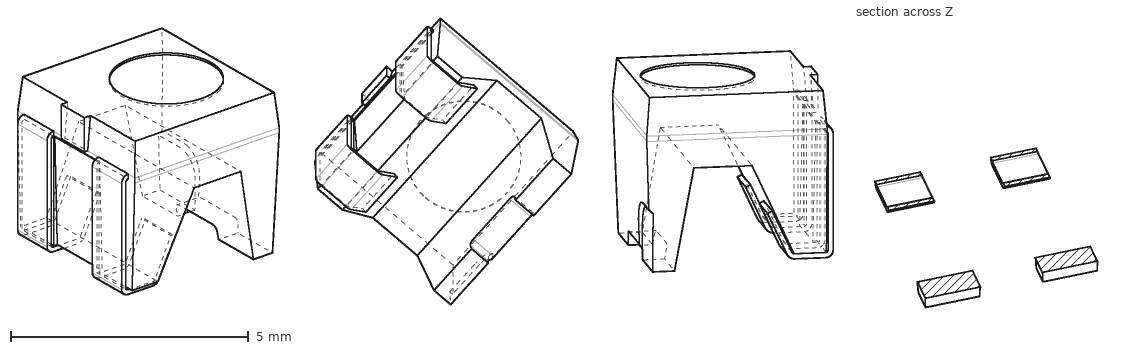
import cadquery as cq
import math

width = 4.0
height = 3.77
back_y = 2.015
front_y = -1.84
band_top = 2.962
band_bottom = 2.845
top_inset_x = 0.08
top_inset_y = 0.073
base_inset = 0.1
front_leg_bottom = 0.275

tunnel_top = 2.225
tunnel_top_y = (-0.238, 1.005)
front_leg_inner_y = -1.15
rear_leg_inner_y = 1.402

arch_half_width = 0.7
arch_top = 0.322
arch_fillet = 0.12

pocket_floor_y = 1.87
pocket_top = 1.265
pocket_fillet = 0.525
pocket_flare = 42.0

window_radius = 1.2
window_y = 0.565
window_depth = 0.05
tab_width = 0.785
tab_front_y = -1.935
panel_half_width = 0.76
panel_depth_top = 0.025
panel_depth_bottom = 0.09

lead_inner_x = 0.775
lead_width = 1.005
lead_thickness = 0.113
lead_front_y = -2.015
lead_bottom = 0.13
lead_arm_length = 1.035
lead_root_y = -1.61
bend_inner_radius = 0.055
bend_outer_radius = bend_inner_radius + lead_thickness

clearance = 0.405


def section(z, inset_x, inset_front, inset_back):
    """Rectangular wire across the body at height z."""
    half_x = width / 2 - inset_x
    y_front = front_y + inset_front
    y_back = back_y - inset_back
    corners = [(-half_x, y_front), (half_x, y_front), (half_x, y_back), (-half_x, y_back)]
    return cq.Workplane("XY").workplane(offset=z).polyline(corners).close().val()


def frustum(*wires):
    return cq.Workplane(obj=cq.Solid.makeLoft(list(wires), True))


def side_prism(points, x_start, length):
    """Extrude a closed (y, z) outline along +X."""
    return cq.Workplane("YZ").workplane(offset=x_start).polyline(points).close().extrude(length)


def make_body():
    base = section(0, base_inset, 0, base_inset)
    low = section(band_bottom, 0, 0, 0)
    high = section(band_top, 0, 0, 0)
    top = section(height, top_inset_x, top_inset_y, top_inset_y)
    return frustum(base, low).union(frustum(low, high)).union(frustum(high, top))


def make_tunnel():
    """Tapered gap between front and rear legs, with the front legs cut shorter."""
    outline = [
        (front_y - clearance, front_leg_bottom),
        (front_leg_inner_y, front_leg_bottom),
        (tunnel_top_y[0], tunnel_top),
        (tunnel_top_y[1], tunnel_top),
        (rear_leg_inner_y, 0),
        (rear_leg_inner_y, -clearance),
        (front_y - clearance, -clearance),
    ]
    return side_prism(outline, -width / 2 - clearance, width + 2 * clearance)


def make_rear_arch():
    arch_length = back_y + clearance
    arch = cq.Workplane("XY").box(
        2 * arch_half_width, arch_length, arch_top + clearance, centered=(True, False, False)
    )
    return arch.translate((0, 0, -clearance)).edges("|Y and >Z").fillet(arch_fillet)


def make_corner_pocket():
    """Flared pocket over the back of the -X rear leg, rounded at its upper inner corner."""
    far_x = -width / 2 - clearance
    profile = (
        cq.Workplane("XZ", origin=(0, pocket_floor_y, 0))
        .moveTo(far_x, -clearance)
        .lineTo(-arch_half_width, -clearance)
        .lineTo(-arch_half_width, pocket_top - pocket_fillet)
        .radiusArc((-arch_half_width - pocket_fillet, pocket_top), -pocket_fillet)
        .lineTo(far_x, pocket_top)
        .close()
    )
    return profile.extrude(pocket_floor_y - back_y, taper=-pocket_flare)


def make_panel_recess():
    """Shallow front recess that deepens towards the bottom."""
    outline = [
        (front_y - clearance, band_bottom),
        (front_y + panel_depth_top, band_bottom),
        (front_y + panel_depth_bottom, front_leg_bottom),
        (front_y - clearance, front_leg_bottom),
    ]
    return side_prism(outline, -panel_half_width, 2 * panel_half_width)


def make_window():
    return (
        cq.Workplane("XY", origin=(0, window_y, height - window_depth))
        .circle(window_radius)
        .extrude(window_depth)
    )


def make_tab():
    outline = [
        (tab_front_y, band_top),
        (tab_front_y, height),
        (front_y + top_inset_y, height),
        (front_y, band_top),
    ]
    return side_prism(outline, -tab_width / 2, tab_width)


def make_lead(x_start):
    """Sheet lead leaving the band, running down the front and hooking under the front leg."""
    inner_front_y = lead_front_y + lead_thickness
    floor_z = lead_bottom + lead_thickness
    arm_angle = math.atan2(tunnel_top - front_leg_bottom, tunnel_top_y[0] - front_leg_inner_y)
    arm_y = math.cos(arm_angle)
    arm_z = math.sin(arm_angle)
    inner_tip = (front_leg_inner_y + lead_arm_length * arm_y, floor_z + lead_arm_length * arm_z)
    outer_tip = (inner_tip[0] + lead_thickness * arm_z, inner_tip[1] - lead_thickness * arm_y)
    outer_elbow_y = front_leg_inner_y + lead_thickness * math.tan(arm_angle / 2)
    inner_corners = [
        (inner_front_y, band_top - lead_thickness),
        (inner_front_y, floor_z),
        (front_leg_inner_y, floor_z),
    ]
    outer_corners = [
        (outer_elbow_y, lead_bottom),
        (lead_front_y, lead_bottom),
        (lead_front_y, band_top),
    ]
    root_bottom = (lead_root_y, band_top - lead_thickness)
    root_top = (lead_root_y, band_top)
    outline = [root_bottom, *inner_corners, inner_tip, outer_tip, *outer_corners, root_top]
    lead = side_prism(outline, x_start, lead_width)
    for corners, radius in ((inner_corners, bend_inner_radius), (outer_corners, bend_outer_radius)):
        for y, z in corners:
            edge = cq.selectors.NearestToPointSelector((x_start + lead_width / 2, y, z))
            lead = lead.edges(edge).fillet(radius)
    return lead


body = make_body()
for cutter in (make_tunnel(), make_rear_arch(), make_corner_pocket(), make_panel_recess(), make_window()):
    body = body.cut(cutter)

result = body.union(make_tab())
for lead_x in (-lead_inner_x - lead_width, lead_inner_x):
    result = result.union(make_lead(lead_x))